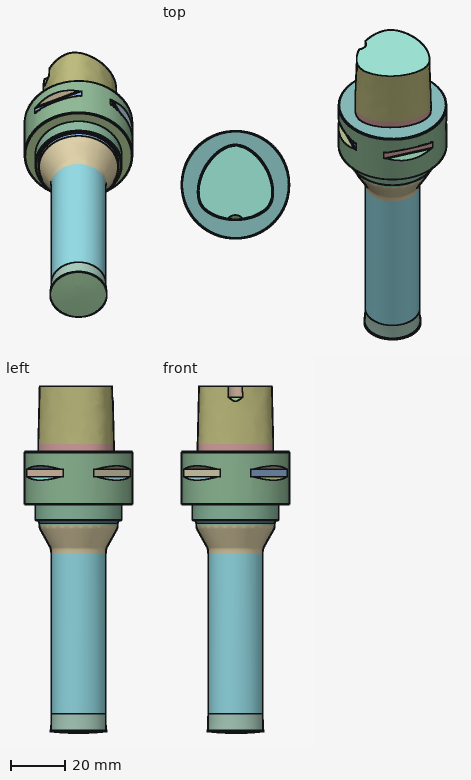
import cadquery as cq
import math


SHANK_HEIGHT = 24.0
SHANK_BASE_HEIGHT = 2.7
SHANK_MEAN_DIA = 28.0
SHANK_ECCENTRICITY = 0.9
TAPER_RATIO = 1 / 20
CURVE_POINTS = 48

NOTCH_RADIUS = 3.2
NOTCH_DEPTH = 4.0
NOTCH_AXIS_Y = -14.3

FLANGE_RADIUS = 20.0
FLANGE_HEIGHT = 19.6
COLLAR_RADIUS = 16.0
COLLAR_HEIGHT = 5.9
EDGE_CHAMFER = 0.4

GROOVE_COUNT = 4
GROOVE_DEPTH = 2.4
GROOVE_WIDTH = 2.8
GROOVE_CENTER_Z = -8.0
GROOVE_WALL_DEPTH = 0.5
GROOVE_FLANK_ANGLE = 33

NECK_RADIUS = 29.0 / 2
NECK_BEVEL_HEIGHT = 1.0
NECK_BEVEL_WIDTH = 0.4
NECK_BAND_HEIGHT = 0.8
CONE_HEIGHT = 10.5
CONE_UPPER_RADIUS = 14.0
CONE_UPPER_DROP = 1.9
CONE_LOWER_RADIUS = 10.8
CONE_LOWER_DROP = 7.5

STEM_RADIUS = 10.1
TOTAL_LENGTH = 128
TIP_LENGTH = 7.2
TIP_EDGE_RADIUS = 10.5
TIP_FLARE_RADIUS = 10.2
TIP_EDGE_HEIGHT = 0.5
TIP_CROWN_HEIGHT = 0.6

BOTTOM_Z = SHANK_HEIGHT - TOTAL_LENGTH
TIP_TOP_Z = BOTTOM_Z + TIP_LENGTH
FLANGE_BOTTOM_Z = -FLANGE_HEIGHT
COLLAR_BOTTOM_Z = FLANGE_BOTTOM_Z - COLLAR_HEIGHT
BAND_TOP_Z = COLLAR_BOTTOM_Z - NECK_BEVEL_HEIGHT
CONE_TOP_Z = BAND_TOP_Z - NECK_BAND_HEIGHT
CONE_BOTTOM_Z = CONE_TOP_Z - CONE_HEIGHT


def cylinder(radius, bottom_z, top_z):
    return cq.Workplane("XY").workplane(offset=bottom_z).circle(radius).extrude(top_z - bottom_z)


def polygon_wire(mean_dia, z):
    """Closed three-lobed curve with one lobe pointing along +Y."""
    points = []
    for i in range(CURVE_POINTS):
        t = 2 * math.pi * i / CURVE_POINTS
        e = SHANK_ECCENTRICITY
        across = mean_dia / 2 * math.sin(t) + 2 * e * math.sin(2 * t) + e * math.sin(4 * t)
        along = mean_dia / 2 * math.cos(t) - 2 * e * math.cos(2 * t) + e * math.cos(4 * t)
        points.append(cq.Vector(across, -along, z))
    return cq.Wire.assembleEdges([cq.Edge.makeSpline(points, periodic=True)])


def make_shank():
    top_dia = SHANK_MEAN_DIA - TAPER_RATIO * (SHANK_HEIGHT - SHANK_BASE_HEIGHT)
    lower_wire = polygon_wire(SHANK_MEAN_DIA, 0)
    gauge_wire = polygon_wire(SHANK_MEAN_DIA, SHANK_BASE_HEIGHT)
    top_wire = polygon_wire(top_dia, SHANK_HEIGHT)
    base = cq.Solid.makeLoft([lower_wire, gauge_wire], True)
    taper = cq.Solid.makeLoft([gauge_wire, top_wire], True)
    return cq.Workplane(base).union(cq.Workplane(taper))


def make_notch():
    """Drilled hole with a 90 degree point, entering from the top of the shank."""
    point_start_z = SHANK_HEIGHT - NOTCH_DEPTH
    profile = (
        cq.Workplane("XZ", origin=(0, NOTCH_AXIS_Y, 0))
        .moveTo(0, SHANK_HEIGHT)
        .lineTo(NOTCH_RADIUS, SHANK_HEIGHT)
        .lineTo(NOTCH_RADIUS, point_start_z)
        .lineTo(0, point_start_z - NOTCH_RADIUS)
        .close()
    )
    return profile.revolve(360, (0, 0, 0), (0, 1, 0))


def make_gripper_groove(angle):
    """Parallel-sided cutter with flared flanks towards its mouth, placed at an angle around the flange."""
    floor_x = FLANGE_RADIUS - GROOVE_DEPTH
    mouth_x = FLANGE_RADIUS + EDGE_CHAMFER
    flank_x = floor_x + GROOVE_WALL_DEPTH
    half_width = GROOVE_WIDTH / 2
    mouth_half = half_width + (mouth_x - flank_x) * math.tan(math.radians(GROOVE_FLANK_ANGLE))
    profile = cq.Workplane("XZ").polyline([
        (floor_x, GROOVE_CENTER_Z - half_width),
        (flank_x, GROOVE_CENTER_Z - half_width),
        (mouth_x, GROOVE_CENTER_Z - mouth_half),
        (mouth_x, GROOVE_CENTER_Z + mouth_half),
        (flank_x, GROOVE_CENTER_Z + half_width),
        (floor_x, GROOVE_CENTER_Z + half_width),
    ]).close()
    return profile.extrude(FLANGE_RADIUS, both=True).rotate((0, 0, 0), (0, 0, 1), angle)


def make_flange():
    flange = cylinder(FLANGE_RADIUS, FLANGE_BOTTOM_Z, 0).edges().chamfer(EDGE_CHAMFER)
    angle_step = 360 / GROOVE_COUNT
    for i in range(GROOVE_COUNT):
        flange = flange.cut(make_gripper_groove((i + 0.5) * angle_step))
    return flange


def make_neck_and_stem():
    cone_points = [
        (CONE_UPPER_RADIUS, CONE_TOP_Z - CONE_UPPER_DROP),
        (CONE_LOWER_RADIUS, CONE_TOP_Z - CONE_LOWER_DROP),
        (STEM_RADIUS, CONE_BOTTOM_Z),
    ]
    return (
        cq.Workplane("XZ")
        .moveTo(0, COLLAR_BOTTOM_Z)
        .lineTo(NECK_RADIUS + NECK_BEVEL_WIDTH, COLLAR_BOTTOM_Z)
        .lineTo(NECK_RADIUS, BAND_TOP_Z)
        .lineTo(NECK_RADIUS, CONE_TOP_Z)
        .spline(cone_points, tangents=[(0, -1), (0, -1)], includeCurrent=True)
        .lineTo(STEM_RADIUS, TIP_TOP_Z)
        .lineTo(0, TIP_TOP_Z)
        .close()
        .revolve(360, (0, 0, 0), (0, 1, 0))
    )


def make_holder():
    collar = cylinder(COLLAR_RADIUS, COLLAR_BOTTOM_Z, FLANGE_BOTTOM_Z)
    collar = collar.faces("<Z").edges().chamfer(EDGE_CHAMFER)
    shank = make_shank().cut(make_notch())
    return make_neck_and_stem().union(collar).union(make_flange()).union(shank)


def make_cutting_tip():
    """Flared tip with a narrow cutting edge and a shallow crowned end."""
    crown_z = BOTTOM_Z + TIP_CROWN_HEIGHT
    crown_sphere_radius = (TIP_EDGE_RADIUS**2 + TIP_CROWN_HEIGHT**2) / (2 * TIP_CROWN_HEIGHT)
    mid_radius = TIP_EDGE_RADIUS / 2
    mid_z = BOTTOM_Z + crown_sphere_radius - math.sqrt(crown_sphere_radius**2 - mid_radius**2)
    edge_top_z = crown_z + TIP_EDGE_HEIGHT
    return (
        cq.Workplane("XZ")
        .moveTo(0, TIP_TOP_Z)
        .lineTo(STEM_RADIUS, TIP_TOP_Z)
        .lineTo(TIP_FLARE_RADIUS, edge_top_z)
        .lineTo(TIP_EDGE_RADIUS, edge_top_z)
        .lineTo(TIP_EDGE_RADIUS, crown_z)
        .threePointArc((mid_radius, mid_z), (0, BOTTOM_Z))
        .close()
        .revolve(360, (0, 0, 0), (0, 1, 0))
    )


holder = make_holder()
cutting_tip = make_cutting_tip()

result = cq.Compound.makeCompound([holder.val(), cutting_tip.val()])